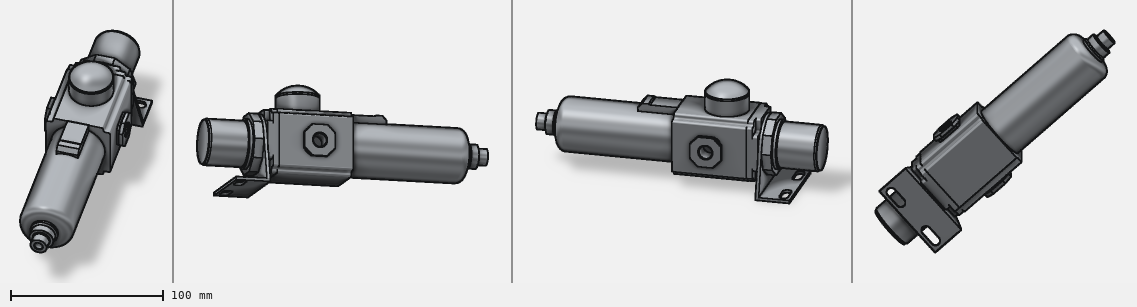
import cadquery as cq
import math


length = 192.5
bowl_end_y = 14.8
body_front_y = 96.2
cap_front_y = 146.5
cap_notch_y = 150.5
plate_front_y = 154.2
plate_back_y = 156.5
nut_back_y = 162.9
knob_front_y = 165.5

body_half_width = 22.0
body_half_height = 21.5
cap_half_width = 21.4
cap_half_height = 21.4
body_corner_wall_x = 17.1
body_corner_floor_z = 18.0
body_corner_radius = 1.62
cap_corner_wall = 12.5
cap_corner_radius = 1.7

bowl_radius = 18.3
bowl_end_fillet = 6.2
drain_ring_radius = 9.2
drain_ring_y = 13.0
drain_barrel_radius = 8.0
drain_barrel_back_y = 12.0
drain_barrel_front_y = 7.0
drain_neck_radius = 6.0
drain_tip_radius = 5.5
drain_tip_back_y = 6.0
drain_bore_radius = 2.7
drain_bore_lip = 0.4
drain_bore_depth = 7.7

tab_width = 14.6
tab_top_z = 22.0
tab_ridge_z = 22.5
tab_ridge_back_y = 77.8
tab_ridge_top_y = 76.6
tab_slope_y = 72.4
tab_end_y = 69.5
tab_end_z = 19.5

knob_radius = 15.4
knob_end_radius = 14.6
knob_end_rim = 0.5
knob_bevel_length = 1.2
collar_radius = 16.5
collar_back_y = 165.0
collar_groove_radius = 15.0
nut_radius = 20.6
nut_sides = 10

bracket_width = 55.0
bracket_bottom_z = -29.8
bracket_foot_thickness = 2.1
bracket_back_y = 177.3
bracket_plate_radius = 20.0
slot_width = 6.0
slot_length = 15.4
slot_outer_x = 24.8
slot_y = 171.9

gauge_y = 128.0
gauge_radius = 14.6
gauge_top_z = 40.8
gauge_barrel_top_z = 32.5
gauge_rim_z = 33.9
gauge_groove_radius = 14.2

port_y = 120.1
port_face_x = 26.5
port_flange_thickness = 2.7
port_flange_size = 20.8
port_flange_chamfer = 5.2
port_neck_size = 17.3
port_neck_chamfer = 2.1
port_bore_radius = 4.5
port_bore_lip = 0.5
port_bore_depth = 11.5


def prism_along_y(outline, y_start, y_end):
    """Extrude an XZ outline drawn on the plane Y = y_end back to Y = y_start."""
    return outline.extrude(y_end - y_start)


def section_plane(y):
    """XZ plane at the given Y; extrusion from it runs toward -Y."""
    return cq.Workplane("XZ", origin=(0, y, 0))


def turned(points):
    """Solid of revolution about the Y axis from (radius, y) points."""
    return cq.Workplane("XY").polyline(points).close().revolve(360, (0, 0, 0), (0, 1, 0))


def stepped_block(half_width, half_height, wall_x, floor_z, radius, y_start, y_end):
    """Rectangular block whose four long edges are cut back to rounded steps."""
    block = section_plane(y_end).rect(2 * half_width, 2 * half_height)
    block = prism_along_y(block, y_start, y_end)
    step_width = half_width - wall_x
    step_height = half_height - floor_z
    for side_x in (-1, 1):
        for side_z in (-1, 1):
            step = section_plane(y_end).center(
                side_x * (wall_x + step_width / 2), side_z * (floor_z + step_height / 2)
            ).rect(step_width, step_height)
            block = block.cut(prism_along_y(step, y_start, y_end))
    return block.edges("|Y").fillet(radius)


def body():
    corner = (body_corner_wall_x, body_corner_floor_z, body_corner_radius)
    main = stepped_block(body_half_width, body_half_height, *corner, body_front_y, cap_front_y)
    cap = stepped_block(cap_half_width, cap_half_height, *corner, cap_front_y, cap_notch_y)
    notched_cap = stepped_block(
        cap_half_width,
        cap_half_height,
        cap_corner_wall,
        cap_corner_wall,
        cap_corner_radius,
        cap_notch_y,
        plate_front_y,
    )
    return main.union(cap).union(notched_cap)


def bowl():
    return (
        section_plane(body_front_y)
        .circle(bowl_radius)
        .extrude(body_front_y - bowl_end_y)
        .faces("<Y")
        .edges()
        .fillet(bowl_end_fillet)
    )


def drain():
    return turned([
        (0, bowl_end_y),
        (drain_ring_radius, bowl_end_y),
        (drain_ring_radius, drain_ring_y),
        (drain_barrel_radius, drain_barrel_back_y),
        (drain_barrel_radius, drain_barrel_front_y),
        (drain_neck_radius, drain_barrel_front_y),
        (drain_tip_radius, drain_tip_back_y),
        (drain_tip_radius, 0),
        (0, 0),
    ])


def drain_bore():
    return turned([
        (0, 0),
        (drain_bore_radius + drain_bore_lip, 0),
        (drain_bore_radius, drain_bore_lip),
        (drain_bore_radius, drain_bore_depth),
        (0, drain_bore_depth),
    ])


def latch_tab():
    profile = [
        (body_front_y, 0),
        (body_front_y, tab_top_z),
        (tab_ridge_back_y, tab_top_z),
        (tab_ridge_top_y, tab_ridge_z),
        (tab_slope_y, tab_ridge_z),
        (tab_end_y, tab_end_z),
        (tab_end_y, 0),
    ]
    return cq.Workplane("YZ").polyline(profile).close().extrude(tab_width / 2, both=True)


def knob():
    bevel_end_y = length - knob_end_rim
    return turned([
        (0, length),
        (knob_end_radius, length),
        (knob_end_radius, bevel_end_y),
        (knob_radius, bevel_end_y - knob_bevel_length),
        (knob_radius, knob_front_y),
        (collar_groove_radius, knob_front_y),
        (collar_groove_radius, collar_back_y),
        (collar_radius, collar_back_y),
        (collar_radius, nut_back_y),
        (0, nut_back_y),
    ])


def panel_nut():
    nut = section_plane(nut_back_y).polygon(nut_sides, 2 * nut_radius)
    return prism_along_y(nut, plate_back_y, nut_back_y)


def bracket():
    half_width = bracket_width / 2
    foot_top_z = bracket_bottom_z + bracket_foot_thickness

    edge_distance = math.hypot(half_width, foot_top_z)
    tangent_angle = math.atan2(foot_top_z, half_width) + math.acos(bracket_plate_radius / edge_distance)
    tangent_x = bracket_plate_radius * math.cos(tangent_angle)
    tangent_z = bracket_plate_radius * math.sin(tangent_angle)

    plate = (
        section_plane(plate_back_y)
        .moveTo(-half_width, bracket_bottom_z)
        .lineTo(half_width, bracket_bottom_z)
        .lineTo(half_width, foot_top_z)
        .lineTo(tangent_x, tangent_z)
        .threePointArc((0, bracket_plate_radius), (-tangent_x, tangent_z))
        .lineTo(-half_width, foot_top_z)
        .close()
    )
    plate = prism_along_y(plate, plate_front_y, plate_back_y)

    foot_depth = bracket_back_y - plate_front_y
    foot = (
        cq.Workplane("XY", origin=(0, plate_front_y + foot_depth / 2, bracket_bottom_z))
        .rect(bracket_width, foot_depth)
        .extrude(bracket_foot_thickness)
    )
    slot_center_x = slot_outer_x - slot_length / 2
    slots = (
        cq.Workplane("XY", origin=(0, slot_y, bracket_bottom_z))
        .pushPoints([(-slot_center_x, 0), (slot_center_x, 0)])
        .slot2D(slot_length, slot_width)
        .extrude(bracket_foot_thickness)
    )
    return plate.union(foot.cut(slots))


def gauge():
    dome_height = gauge_top_z - gauge_rim_z
    dome_radius = (gauge_radius**2 + dome_height**2) / (2 * dome_height)
    half_angle = math.asin(gauge_radius / dome_radius) / 2
    dome_middle = (
        dome_radius * math.sin(half_angle),
        gauge_top_z - dome_radius * (1 - math.cos(half_angle)),
    )
    return (
        cq.Workplane("XZ", origin=(0, gauge_y, 0))
        .lineTo(gauge_radius, 0)
        .lineTo(gauge_radius, gauge_barrel_top_z)
        .lineTo(gauge_groove_radius, gauge_barrel_top_z)
        .lineTo(gauge_groove_radius, gauge_rim_z)
        .lineTo(gauge_radius, gauge_rim_z)
        .threePointArc(dome_middle, (0, gauge_top_z))
        .close()
        .revolve(360, (0, 0, 0), (0, 1, 0))
    )


def port():
    """Port on the +X side: a square neck and an eight-sided flange."""
    flange_back_x = port_face_x - port_flange_thickness
    flange = (
        cq.Workplane("YZ", origin=(flange_back_x, port_y, 0))
        .rect(port_flange_size, port_flange_size)
        .extrude(port_flange_thickness)
        .edges("|X")
        .chamfer(port_flange_chamfer)
    )
    neck = (
        cq.Workplane("YZ", origin=(0, port_y, 0))
        .rect(port_neck_size, port_neck_size)
        .extrude(flange_back_x)
        .edges("|X")
        .chamfer(port_neck_chamfer)
    )
    return neck.union(flange)


def port_bore():
    """Blind bore with a bevelled mouth for the +X port."""
    mouth_radius = port_bore_radius + port_bore_lip
    return (
        cq.Workplane("XY", origin=(0, port_y, 0))
        .polyline([
            (port_face_x, 0),
            (port_face_x, mouth_radius),
            (port_face_x - port_bore_lip, port_bore_radius),
            (port_face_x - port_bore_depth, port_bore_radius),
            (port_face_x - port_bore_depth, 0),
        ])
        .close()
        .revolve(360, (0, 0, 0), (1, 0, 0))
    )


result = body()
for feature in (bowl(), latch_tab(), drain(), bracket(), panel_nut(), knob(), gauge()):
    result = result.union(feature)
for mirrored in (False, True):
    side_port = port().mirror("YZ") if mirrored else port()
    side_bore = port_bore().mirror("YZ") if mirrored else port_bore()
    result = result.union(side_port).cut(side_bore)
result = result.cut(drain_bore())